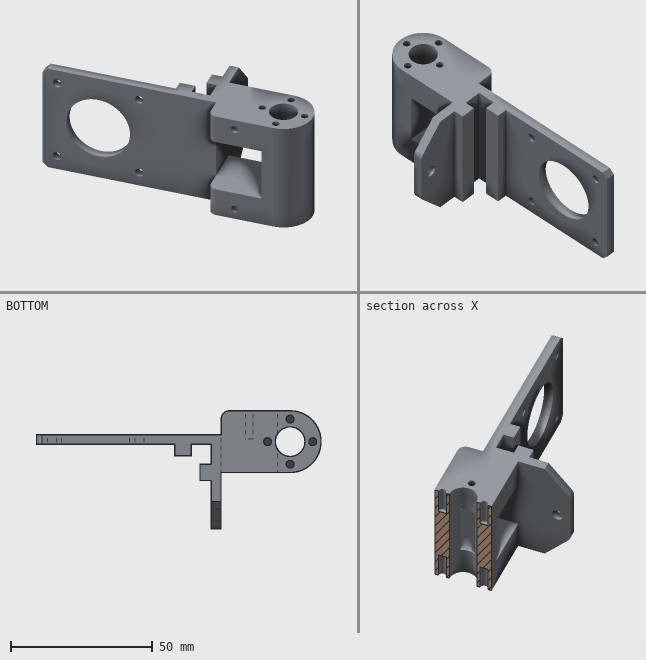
import cadquery as cq

HEIGHT = 42.0
MID_Z = HEIGHT / 2
LENGTH = 101.0
WIDTH = 42.0

BLOCK_WIDTH = 22.0
NOSE_RADIUS = BLOCK_WIDTH / 2
HINGE_X = LENGTH - NOSE_RADIUS
HINGE_Y = BLOCK_WIDTH / 2
BLOCK_LEFT = 65.5
BLOCK_CORNER_RADIUS = 3.0
BORE_DIAMETER = 10.4
SCREW_DIAMETER = 2.8
HINGE_SCREW_RADIUS = 8.0
HINGE_SCREW_DEPTH = 10.0

WINDOW_SIZE = 20.2
WINDOW_CENTER_X = 75.5
WINDOW_SCREW_SPACING = 34.0
WINDOW_SCREW_DEPTH = 10.0

WALL = 3.5
PLATE_FRONT = 8.5
PLATE_BACK = PLATE_FRONT + WALL
PLATE_CHAMFER = 2.0
MOTOR_X = 21.0
MOTOR_BOSS_DIAMETER = 24.0
MOTOR_SCREW_DIAMETER = 3.2
MOTOR_SCREW_SPACING = 31.0
TAB_LEFT = BLOCK_LEFT - WALL
TAB_BEVEL_Y = 9.8
TAB_BEVEL_Z = 10.8
TAB_BEVEL_RADIUS = 3.0
TAB_HOLE_DIAMETER = 4.2
TAB_HOLE_Y = 37.0

RIB_WIDTH = 5.9
RIB_HEIGHT = 4.0
PLATE_RIB_X = 52.0
TAB_RIB_Y = 21.9


def box(x_range, y_range, z_range=(0, HEIGHT)):
    """Axis-aligned box between the given limits."""
    (x0, x1), (y0, y1), (z0, z1) = x_range, y_range, z_range
    return cq.Workplane("XY").box(x1 - x0, y1 - y0, z1 - z0, centered=False).translate((x0, y0, z0))


def rod(diameter, start, direction, length):
    """Solid cylinder used to cut a round hole."""
    return cq.Workplane(cq.Solid.makeCylinder(diameter / 2, length, cq.Vector(*start), cq.Vector(*direction)))


def hinge_block():
    block = (
        cq.Workplane("XY")
        .moveTo(TAB_LEFT, BLOCK_WIDTH)
        .lineTo(HINGE_X, BLOCK_WIDTH)
        .threePointArc((LENGTH, HINGE_Y), (HINGE_X, 0))
        .lineTo(BLOCK_LEFT, 0)
        .lineTo(BLOCK_LEFT, PLATE_FRONT)
        .lineTo(TAB_LEFT, PLATE_FRONT)
        .close()
        .extrude(HEIGHT)
    )
    corner = cq.selectors.NearestToPointSelector((BLOCK_LEFT, 0, MID_Z))
    return block.edges(corner).fillet(BLOCK_CORNER_RADIUS)


def motor_plate():
    plate = box((0, BLOCK_LEFT), (PLATE_FRONT, PLATE_BACK))
    plate = plate.faces("<X").edges("|Y").chamfer(PLATE_CHAMFER)
    plate = plate.cut(rod(MOTOR_BOSS_DIAMETER, (MOTOR_X, PLATE_FRONT, MID_Z), (0, 1, 0), WALL))
    half = MOTOR_SCREW_SPACING / 2
    for dx in (-half, half):
        for dz in (-half, half):
            start = (MOTOR_X + dx, PLATE_FRONT, MID_Z + dz)
            plate = plate.cut(rod(MOTOR_SCREW_DIAMETER, start, (0, 1, 0), WALL))
    return plate


def tab():
    bevel_start = WIDTH - TAB_BEVEL_Y
    upright = (
        cq.Workplane("YZ", origin=(TAB_LEFT, 0, 0))
        .moveTo(PLATE_FRONT, 0)
        .lineTo(bevel_start, 0)
        .lineTo(WIDTH, TAB_BEVEL_Z)
        .lineTo(WIDTH, HEIGHT - TAB_BEVEL_Z)
        .lineTo(bevel_start, HEIGHT)
        .lineTo(PLATE_FRONT, HEIGHT)
        .close()
        .extrude(WALL)
    )
    upright = upright.faces(">Y").edges("|X").fillet(TAB_BEVEL_RADIUS)
    return upright.cut(rod(TAB_HOLE_DIAMETER, (TAB_LEFT, TAB_HOLE_Y, MID_Z), (1, 0, 0), WALL))


def ribs():
    half = RIB_WIDTH / 2
    plate_rib = box((PLATE_RIB_X - half, PLATE_RIB_X + half), (PLATE_BACK, PLATE_BACK + RIB_HEIGHT))
    tab_rib = box((TAB_LEFT - RIB_HEIGHT, TAB_LEFT), (TAB_RIB_Y - half, TAB_RIB_Y + half))
    return plate_rib, tab_rib


def cut_window(body):
    half = WINDOW_SIZE / 2
    window = box(
        (WINDOW_CENTER_X - half, WINDOW_CENTER_X + half),
        (0, BLOCK_WIDTH),
        (MID_Z - half, MID_Z + half),
    )
    body = body.cut(window)
    for side in (-1, 1):
        start = (WINDOW_CENTER_X, 0, MID_Z + side * WINDOW_SCREW_SPACING / 2)
        body = body.cut(rod(SCREW_DIAMETER, start, (0, 1, 0), WINDOW_SCREW_DEPTH))
    return body


def cut_hinge_holes(body):
    body = body.cut(rod(BORE_DIAMETER, (HINGE_X, HINGE_Y, 0), (0, 0, 1), HEIGHT))
    for dx, dy in ((1, 0), (0, 1), (-1, 0), (0, -1)):
        x = HINGE_X + dx * HINGE_SCREW_RADIUS
        y = HINGE_Y + dy * HINGE_SCREW_RADIUS
        body = body.cut(rod(SCREW_DIAMETER, (x, y, HEIGHT), (0, 0, -1), HINGE_SCREW_DEPTH))
        body = body.cut(rod(SCREW_DIAMETER, (x, y, 0), (0, 0, 1), HINGE_SCREW_DEPTH))
    return body


bracket = hinge_block().union(motor_plate()).union(tab())
for rib in ribs():
    bracket = bracket.union(rib)
bracket = cut_window(bracket)
result = cut_hinge_holes(bracket)